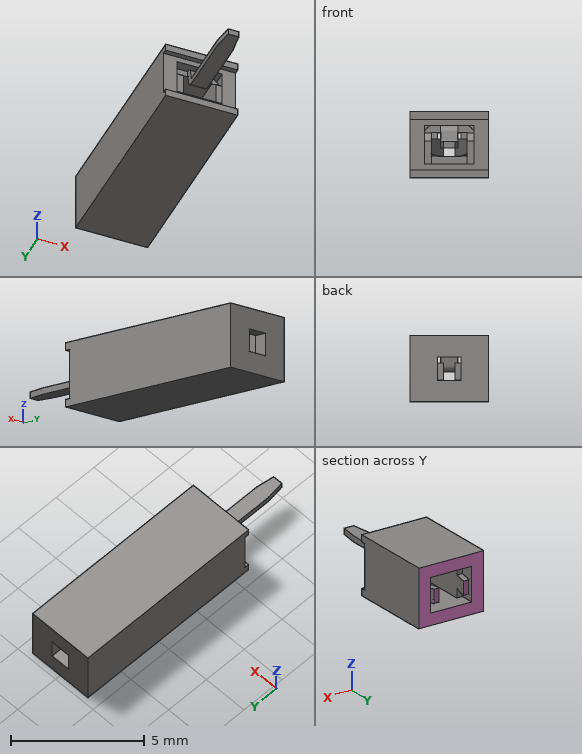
import cadquery as cq
import math


width = 2.94
height = 2.5
overall_length = 11.5
housing_depth = 8.3
lip_length = 0.2
lip_thickness = 0.3
cavity_width = 1.84
cavity_height = 1.44
rear_wall = 0.51
entry_hole = 0.87

sheet = 0.25
corner_chamfer = 0.18
channel_length = 3.0
wall_front_height = 0.85
wall_slope_rise = 0.3
plate_front = 0.38
pin_width = 0.65
pin_tip_width = 0.44
pin_taper_length = 0.8
bend_angle = math.radians(80)
bend_inner_radius = 0.03
arm_length = 2.4
arm_bottom = -0.43
arm_root_bottom = -0.33
arm_root_length = 1.2
arm_top = 0.22
arm_gap = 0.41

cavity_depth = housing_depth - rear_wall
pin_tip_y = housing_depth - overall_length
half_cavity = cavity_width / 2
plate_top = cavity_height / 2
plate_bottom = plate_top - sheet
cavity_floor = -cavity_height / 2
pin_top = sheet / 2
pin_bottom = -sheet / 2
wall_inner = half_cavity - sheet

bend_outer_radius = bend_inner_radius + sheet
radius_sum = bend_outer_radius + bend_inner_radius
straight_length = (
    plate_top - pin_top - radius_sum * (1 - math.cos(bend_angle))
) / math.sin(bend_angle)
pin_bend_y = plate_front - radius_sum * math.sin(bend_angle) - straight_length * math.cos(bend_angle)


def make_block(size_x, y_range, z_range):
    """Box centered on X, spanning the given Y and Z ranges."""
    block = cq.Workplane("XY").box(
        size_x, y_range[1] - y_range[0], z_range[1] - z_range[0], centered=(True, False, False)
    )
    return block.translate((0, y_range[0], z_range[0]))


def make_housing():
    """Rectangular shell with two front lips, a terminal cavity and a square rear entry."""
    body = make_block(width, (-lip_length, housing_depth), (-height / 2, height / 2))
    inside_lips = height / 2 - lip_thickness
    front_recess = make_block(width, (-lip_length, 0), (-inside_lips, inside_lips))
    cavity = make_block(cavity_width, (0, cavity_depth), (cavity_floor, plate_top))
    entry = make_block(entry_hole, (cavity_depth, housing_depth), (-entry_hole / 2, entry_hole / 2))
    return body.cut(front_recess).cut(cavity).cut(entry)


def make_channel():
    """Inverted U of sheet whose side walls reach the front face under a sloped edge."""
    channel = (
        cq.Workplane("XZ")
        .moveTo(-half_cavity, cavity_floor)
        .lineTo(-half_cavity, plate_top - corner_chamfer)
        .lineTo(-half_cavity + corner_chamfer, plate_top)
        .lineTo(half_cavity - corner_chamfer, plate_top)
        .lineTo(half_cavity, plate_top - corner_chamfer)
        .lineTo(half_cavity, cavity_floor)
        .lineTo(wall_inner, cavity_floor)
        .lineTo(wall_inner, plate_bottom)
        .lineTo(-wall_inner, plate_bottom)
        .lineTo(-wall_inner, cavity_floor)
        .close()
        .extrude(-channel_length)
    )
    slope_bottom = cavity_floor + wall_front_height
    slope_top = slope_bottom + wall_slope_rise
    front_clearance = (
        cq.Workplane("YZ")
        .moveTo(0, slope_bottom)
        .lineTo(plate_front, slope_top)
        .lineTo(plate_front, plate_top)
        .lineTo(0, plate_top)
        .close()
        .extrude(half_cavity, both=True)
    )
    return channel.cut(front_clearance)


def bend_point(center_y, center_z, radius, angle, side):
    """(Y, Z) on a bend; angle is measured from the top (side = 1) or the bottom (side = -1)."""
    return center_y - side * radius * math.sin(angle), center_z + side * radius * math.cos(angle)


def make_pin():
    """Strip bent down from the top plate and forward into a flat pin with a tapered tip."""
    def upper(radius, angle):
        return bend_point(plate_front, plate_top - bend_outer_radius, radius, angle, 1)

    def lower(radius, angle):
        return bend_point(pin_bend_y, pin_top + bend_inner_radius, radius, angle, -1)

    half_angle = bend_angle / 2
    strip = (
        cq.Workplane("YZ")
        .moveTo(*upper(bend_outer_radius, 0))
        .threePointArc(upper(bend_outer_radius, half_angle), upper(bend_outer_radius, bend_angle))
        .lineTo(*lower(bend_inner_radius, bend_angle))
        .threePointArc(lower(bend_inner_radius, half_angle), lower(bend_inner_radius, 0))
        .lineTo(pin_tip_y, pin_top)
        .lineTo(pin_tip_y, pin_bottom)
        .lineTo(*lower(bend_outer_radius, 0))
        .threePointArc(lower(bend_outer_radius, half_angle), lower(bend_outer_radius, bend_angle))
        .lineTo(*upper(bend_inner_radius, bend_angle))
        .threePointArc(upper(bend_inner_radius, half_angle), upper(bend_inner_radius, 0))
        .close()
        .extrude(pin_width / 2, both=True)
    )
    taper_start = pin_tip_y + pin_taper_length
    plan = (
        cq.Workplane("XY", origin=(0, 0, cavity_floor))
        .moveTo(-pin_width / 2, plate_front)
        .lineTo(-pin_width / 2, taper_start)
        .lineTo(-pin_tip_width / 2, pin_tip_y)
        .lineTo(pin_tip_width / 2, pin_tip_y)
        .lineTo(pin_width / 2, taper_start)
        .lineTo(pin_width / 2, plate_front)
        .close()
        .extrude(cavity_height)
    )
    return strip.intersect(plan)


def make_arm(side):
    """Contact arm that runs on from a side wall and leans inward; side is -1 or 1."""
    arm_end = channel_length + arm_length
    tip = arm_gap / 2
    arm = (
        cq.Workplane("XY", origin=(0, 0, arm_bottom))
        .moveTo(side * half_cavity, channel_length)
        .lineTo(side * wall_inner, channel_length)
        .lineTo(side * tip, arm_end)
        .lineTo(side * (tip + sheet), arm_end)
        .close()
        .extrude(arm_top - arm_bottom)
    )
    root_clearance = (
        cq.Workplane("YZ")
        .moveTo(channel_length, arm_bottom)
        .lineTo(channel_length, arm_root_bottom)
        .lineTo(channel_length + arm_root_length, arm_bottom)
        .close()
        .extrude(half_cavity, both=True)
    )
    return arm.cut(root_clearance)


def make_terminal():
    """One solid: channel, pin and the two contact arms."""
    body = make_channel().union(make_pin())
    for side in (-1, 1):
        body = body.union(make_arm(side))
    return body


housing = make_housing()
terminal = make_terminal()

result = cq.Compound.makeCompound([housing.solids().val(), terminal.solids().val()])